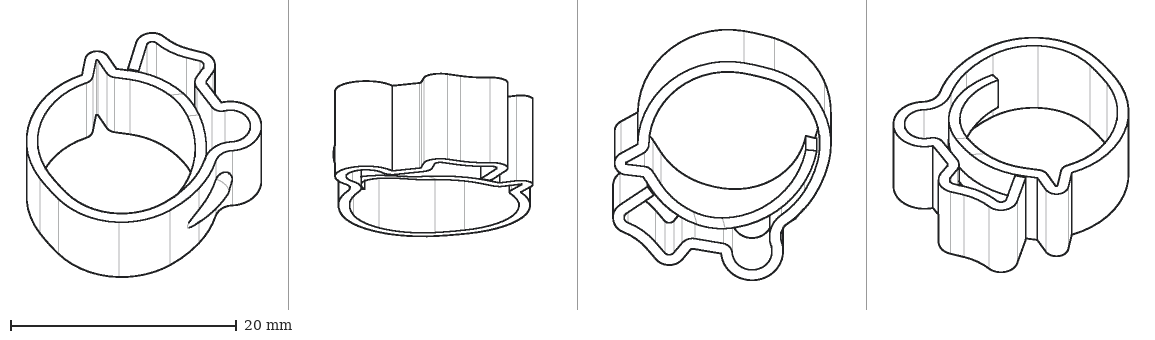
import cadquery as cq
import math


thickness = 1.0
strip_width = 8.0
ring_radius = 7.5
sharp_radius = thickness / 2
smallest_radius = 0.0002

strip_path = [
    ("bend", ring_radius, 138.3),
    ("line", 1.37),
    ("bend", sharp_radius, -51.5),
    ("line", 1.6),
    ("bend", 0.59, 142.4),
    ("line", 1.75),
    ("bend", sharp_radius, -58.5),
    ("bend", ring_radius, 99.0),
    ("bend", 19.8, 7.9),
    ("bend", 6.75, 48.7),
    ("bend", 7.15, 36.1),
    ("bend", 10.43, 18.6),
    ("bend", 8.53, 21.9),
    ("bend", 2.08, -71.7),
    ("bend", 2.26, 193.7),
    ("bend", sharp_radius, -75.1),
    ("line", 2.53),
    ("bend", 0.73, -62.0),
    ("line", 1.11),
    ("bend", 1.03, 102.9),
    ("line", 1.27),
    ("bend", 5.88, -28.2),
    ("bend", 1.0, 121.7),
    ("line", 3.0),
]

taper_start = (-1.9, 6.77)
taper_heading = -25.2
taper_curve_length = 2.3
taper_slope = 0.23
taper_reach = 14.15

neck_bead_radius = 1.25
neck_bead_core_radius = 8.29
neck_bead_start = (6.43, 8.12)
neck_bead_corner = (7.42, 7.13)
neck_bead_middle = (8.47, 4.65)
neck_bead_end = (8.81, 1.82)

filler_bead_radius = 1.11
filler_crest_radius = 8.9
filler_center = (-0.8, -0.49)
filler_start_angle = 128.0
filler_end_angle = 55.0


def point_at(point, angle, distance):
    """Point at a distance from another, in a direction given in radians."""
    return (point[0] + distance * math.cos(angle), point[1] + distance * math.sin(angle))


def side_chain(offset):
    """Points of the strip side lying `offset` to the left of the mid line.

    Returns the first point and a list of (arc middle or None, end point)."""
    position = (ring_radius, 0)
    heading = math.pi / 2
    left = math.pi / 2
    first = point_at(position, heading + left, offset)
    steps = []
    for kind, size, *turn in strip_path:
        if kind == "line":
            position = point_at(position, heading, size)
            steps.append((None, point_at(position, heading + left, offset)))
            continue
        angle = math.radians(turn[0])
        to_center = math.copysign(size, angle)
        center = point_at(position, heading + left, to_center)
        reach = offset - to_center
        middle = point_at(center, heading + angle / 2 + left, reach)
        end = point_at(center, heading + angle + left, reach)
        heading += angle
        position = point_at(center, heading + left, -to_center)
        if abs(reach) > smallest_radius:
            steps.append((middle, end))
    return first, steps


def reversed_chain(first, steps):
    """The same chain of points, walked from its end to its start."""
    starts = [first] + [end for _, end in steps[:-1]]
    backward = [(middle, start) for (middle, _), start in zip(steps, starts)]
    return steps[-1][1], backward[::-1]


def draw_chain(outline, steps):
    for middle, end in steps:
        outline = outline.lineTo(*end) if middle is None else outline.threePointArc(middle, end)
    return outline


def bent_strip():
    left_first, left_steps = side_chain(thickness / 2)
    right_last, right_steps = reversed_chain(*side_chain(-thickness / 2))
    outline = cq.Workplane("XY").workplane(offset=-strip_width / 2).moveTo(*left_first)
    outline = draw_chain(outline, left_steps).lineTo(*right_last)
    return draw_chain(outline, right_steps).close().extrude(strip_width)


def tongue_taper_cutter():
    """Wedge above the tongue that narrows it from the top towards its tip."""
    heading = math.radians(taper_heading)
    along = (math.cos(heading), math.sin(heading), 0)
    crease = (-math.sin(heading), math.cos(heading), 0)
    side_plane = cq.Plane(
        origin=(*taper_start, strip_width / 2),
        xDir=along,
        normal=(-crease[0], -crease[1], 0),
    )
    slope_angle = math.atan(taper_slope)
    curve_radius = taper_curve_length / math.sin(slope_angle)
    curve_middle = (
        curve_radius * math.sin(slope_angle / 2),
        -curve_radius * (1 - math.cos(slope_angle / 2)),
    )
    curve_end = (taper_curve_length, -curve_radius * (1 - math.cos(slope_angle)))
    low_end = curve_end[1] - taper_slope * (taper_reach - taper_curve_length)
    wedge = (
        cq.Workplane(side_plane)
        .threePointArc(curve_middle, curve_end)
        .lineTo(taper_reach, low_end)
        .lineTo(taper_reach, 0)
        .close()
        .extrude(2 * ring_radius, both=True)
    )
    tongue_outer_radius = ring_radius + thickness / 2
    tongue_space = (
        cq.Workplane("XY")
        .moveTo(tongue_outer_radius, 0)
        .threePointArc((0, tongue_outer_radius), (-tongue_outer_radius, 0))
        .close()
        .extrude(strip_width)
    )
    return wedge.intersect(tongue_space)


def half_round_bead(crest_path, start, outward_angle, radius):
    """Half-round bar swept along its crest, which begins at `start`.

    The section starts out bulging in the direction `outward_angle`, in radians."""
    outward = (math.cos(outward_angle), math.sin(outward_angle), 0)
    section_plane = cq.Plane(
        origin=(*start, 0),
        xDir=outward,
        normal=(outward[1], -outward[0], 0),
    )
    section = (
        cq.Workplane(section_plane)
        .moveTo(-radius, radius)
        .threePointArc((0, 0), (-radius, -radius))
        .close()
    )
    return section.sweep(crest_path, transition="right")


def without_core(bead, core_radius):
    """The part of a bead lying outside a cylinder about the ring axis."""
    return bead.cut(cq.Workplane("XY").cylinder(strip_width, core_radius))


def neck_bead():
    crest = (
        cq.Workplane("XY")
        .moveTo(*neck_bead_start)
        .lineTo(*neck_bead_corner)
        .threePointArc(neck_bead_middle, neck_bead_end)
    )
    run_x = neck_bead_corner[0] - neck_bead_start[0]
    run_y = neck_bead_corner[1] - neck_bead_start[1]
    outward_angle = math.atan2(run_y, run_x) + math.pi / 2
    bead = half_round_bead(crest, neck_bead_start, outward_angle, neck_bead_radius)
    return without_core(bead, neck_bead_core_radius)


def build_clamp_strip():
    upper_cutter = tongue_taper_cutter()
    strip = bent_strip().cut(upper_cutter).cut(upper_cutter.mirror("XY"))
    return strip.union(neck_bead())


def build_filler_bead(strip):
    start_angle = math.radians(filler_start_angle)
    end_angle = math.radians(filler_end_angle)
    middle_angle = (start_angle + end_angle) / 2
    start, middle, end = (
        point_at(filler_center, angle, filler_crest_radius)
        for angle in (start_angle, middle_angle, end_angle)
    )
    crest = cq.Workplane("XY").moveTo(*start).threePointArc(middle, end)
    bead = half_round_bead(crest, start, start_angle, filler_bead_radius)
    return without_core(bead, ring_radius).cut(strip)


clamp_strip = build_clamp_strip()
filler_bead = build_filler_bead(clamp_strip)

result = cq.Compound.makeCompound([clamp_strip.val(), filler_bead.val()])